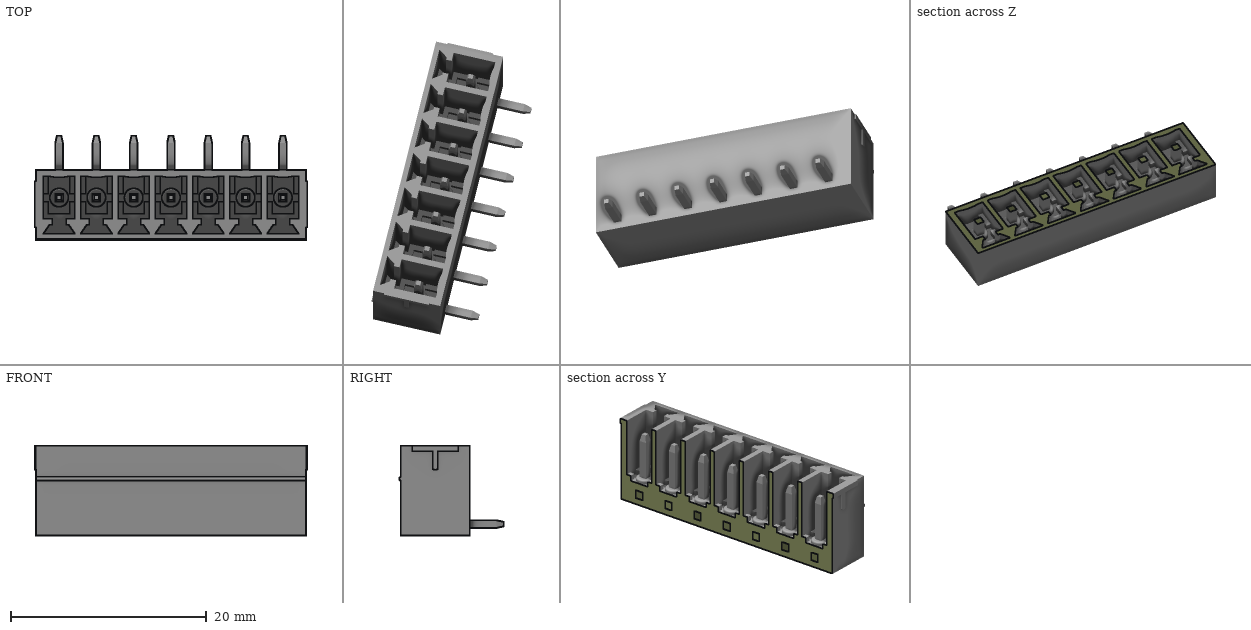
import cadquery as cq


overall_length = 27.85
pin_count = 7
end_to_first_pin = 2.5
pitch = (overall_length - 2 * end_to_first_pin) / (pin_count - 1)
pin_xs = [(i - (pin_count - 1) / 2) * pitch for i in range(pin_count)]

ear_thickness = 0.15
housing_length = overall_length - 2 * ear_thickness
housing_depth = 7.05
housing_height = 9.2
pin_y = housing_depth - 2.85

ear_bar_width = 4.7
ear_bar_height = 0.59
ear_leg_width = 0.5
ear_drop = 2.45
ear_corner_radius = 0.1

rib_height = 0.4
rib_projection = 0.17
rib_z = housing_height - 3.4

pocket_width = 3.2
pocket_back_y = housing_depth - 0.65
pocket_front_y = 2.03
pocket_depth = 6.13
bulge_width = 2.17
bulge_height = 0.15
neck_width = 1.42
dovetail_back_width = 1.95
dovetail_back_y = 1.45
dovetail_front_y = 0.53

recess_depth = 0.55
recess_floor_z = housing_height - pocket_depth - recess_depth
recess_front_y = 2.54
channel_width = 0.84

boss_diameter = 1.9
boss_height = 0.42
boss_fillet = 0.2

pin_size = 0.8
tip_size = 0.47
tip_length = 0.75
contact_top_z = housing_height - 1.42
tail_z = 1.17
tail_end_y = housing_depth + 3.48


def make_ear(side):
    """T-shaped ear on one end; side is -1 or +1 along X."""
    plane = cq.Plane(origin=(side * housing_length / 2, housing_depth / 2, housing_height),
                     xDir=(0, side, 0), normal=(side, 0, 0))
    bar = (
        cq.Workplane(plane)
        .center(0, -ear_bar_height / 2)
        .rect(ear_bar_width, ear_bar_height)
        .extrude(ear_thickness)
    )
    leg = (
        cq.Workplane(plane)
        .center(0, -ear_drop / 2)
        .rect(ear_leg_width, ear_drop)
        .extrude(ear_thickness)
        .edges("|X and <Z")
        .fillet(ear_corner_radius)
    )
    return bar.union(leg)


def make_rib():
    """Rounded rib over the full length of the front wall."""
    return (
        cq.Workplane("YZ", origin=(-housing_length / 2, 0, rib_z))
        .moveTo(0, -rib_height / 2)
        .threePointArc((-rib_projection, 0), (0, rib_height / 2))
        .close()
        .extrude(housing_length)
    )


def make_pocket(x):
    """Space cut out around the pin at x: upper pocket, dovetail and sunken floor."""
    half_pocket = pocket_width / 2
    half_bulge = bulge_width / 2
    half_neck = neck_width / 2
    half_dovetail = dovetail_back_width / 2
    upper = (
        cq.Workplane("XY", origin=(x, 0, housing_height))
        .moveTo(-half_pocket, pocket_back_y)
        .lineTo(-half_bulge, pocket_back_y)
        .threePointArc((0, pocket_back_y - bulge_height), (half_bulge, pocket_back_y))
        .lineTo(half_pocket, pocket_back_y)
        .lineTo(half_pocket, pocket_front_y)
        .lineTo(half_neck, pocket_front_y)
        .lineTo(half_neck, dovetail_back_y)
        .lineTo(half_dovetail, dovetail_back_y)
        .lineTo(half_pocket, dovetail_front_y)
        .lineTo(-half_pocket, dovetail_front_y)
        .lineTo(-half_dovetail, dovetail_back_y)
        .lineTo(-half_neck, dovetail_back_y)
        .lineTo(-half_neck, pocket_front_y)
        .lineTo(-half_pocket, pocket_front_y)
        .close()
        .extrude(-pocket_depth)
    )
    recess = (
        cq.Workplane("XY", origin=(x, 0, recess_floor_z))
        .moveTo(-half_bulge, recess_front_y)
        .lineTo(-half_bulge, pocket_back_y)
        .threePointArc((0, pocket_back_y - bulge_height), (half_bulge, pocket_back_y))
        .lineTo(half_bulge, recess_front_y)
        .close()
        .extrude(recess_depth)
    )
    channel = (
        cq.Workplane("XY", origin=(x, pin_y, recess_floor_z))
        .rect(pocket_width, channel_width)
        .extrude(recess_depth)
    )
    return upper.union(recess).union(channel)


def make_boss(x):
    """Round boss with a rounded rim on the recess floor at x."""
    return (
        cq.Workplane("XY", origin=(x, pin_y, recess_floor_z))
        .circle(boss_diameter / 2)
        .extrude(boss_height)
        .faces(">Z")
        .fillet(boss_fillet)
    )


def make_straight(start, direction, across, length):
    """Square bar from start along direction, ending in a tapered tip."""
    bar_length = length - tip_length
    bar = (
        cq.Workplane(cq.Plane(origin=start, xDir=across, normal=direction))
        .rect(pin_size, pin_size)
        .extrude(bar_length)
    )
    tip = (
        bar.faces(cq.selectors.DirectionMinMaxSelector(cq.Vector(*direction)))
        .workplane()
        .rect(pin_size, pin_size)
        .workplane(offset=tip_length)
        .rect(tip_size, tip_size)
        .loft(combine=False)
    )
    return bar.union(tip)


def make_pin(x):
    """Bent pin at x: upright contact and a tail that leaves through the back wall."""
    half = pin_size / 2
    contact_foot_z = tail_z - half
    tail_start_y = pin_y - half
    contact = make_straight((x, pin_y, contact_foot_z), (0, 0, 1), (1, 0, 0), contact_top_z - contact_foot_z)
    tail = make_straight((x, tail_start_y, tail_z), (0, 1, 0), (1, 0, 0), tail_end_y - tail_start_y)
    return contact.union(tail)


def make_housing(pins):
    """Housing with ears, rib, pockets and bosses, and a matching hole for each pin."""
    body = cq.Workplane("XY").box(housing_length, housing_depth, housing_height, centered=(True, False, False))
    body = body.union(make_rib())
    for side in (-1, 1):
        body = body.union(make_ear(side))
    for x, pin in zip(pin_xs, pins):
        body = body.cut(make_pocket(x)).union(make_boss(x)).cut(pin)
    return body


pins = [make_pin(x) for x in pin_xs]
housing = make_housing(pins)

result = cq.Compound.makeCompound([housing.val(), *[pin.val() for pin in pins]])